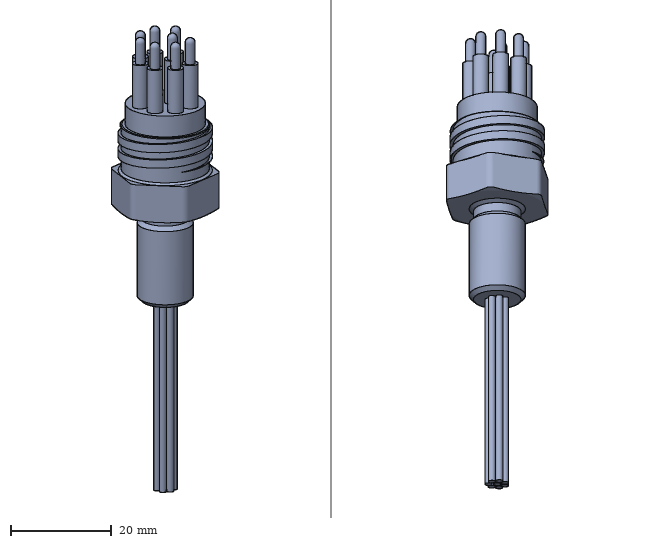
import cadquery as cq
import math

barrel_bottom = 39.6
barrel_top = 56.7
neck_top = 58.5
hex_bottom = 59.1
hex_top = 66.8
thread_bottom = 69.0
thread_top = 76.5
collar_top = 80.9
sleeve_top = 90.0
pin_top = 95.3

barrel_diameter = 11.15
neck_diameter = 9.4
barrel_chamfer = (barrel_diameter - neck_diameter) / 2
core_diameter = 17.5
core_flare_width = 0.6
core_flare_height = 0.4
collar_diameter = 15.9

hex_across_flats = 19.1
hex_corner_radius = 1.5
hex_chamfer_height = 0.4

thread_diameter = 18.8
thread_pitch = 3.2
thread_width = 1.7
thread_turns = 3
thread_start = 68.3
thread_end_diameter = 17.2
thread_end_height = 0.7
thread_root_overlap = 0.5

pin_diameter = 2.0
sleeve_diameter = 3.1
pin_circle_radius = 5.3
inner_pin_y = 1.5
pin_count_on_full_circle = 8

wire_diameter = 1.4
wire_ring_radius = 1.7
wire_ring_count = 7
wire_embed = 1.0


def revolve_profile(points):
    """Turn a closed (radius, z) outline around the Z axis."""
    return cq.Workplane("XZ").polyline(points).close().revolve(360, (0, 0, 0), (0, 1, 0))


def polar_points(radius, angles):
    return [(radius * math.cos(math.radians(a)), radius * math.sin(math.radians(a))) for a in angles]


def make_body():
    """Barrel, neck and collar as one turned shape that also fills the hexagon and the core."""
    barrel_r = barrel_diameter / 2
    neck_r = neck_diameter / 2
    collar_r = collar_diameter / 2
    return revolve_profile([
        (0, barrel_bottom),
        (barrel_r - barrel_chamfer, barrel_bottom),
        (barrel_r, barrel_bottom + barrel_chamfer),
        (barrel_r, barrel_top - barrel_chamfer),
        (neck_r, barrel_top),
        (neck_r, neck_top),
        (barrel_r, hex_bottom),
        (collar_r, hex_bottom),
        (collar_r, collar_top),
        (0, collar_top),
    ])


def make_hexagon():
    """Hexagon with rounded corners and a shallow cone trimming its lower corners."""
    flat_r = hex_across_flats / 2
    sharp_corner_r = flat_r / math.cos(math.pi / 6)
    prism = (
        cq.Workplane("XY", origin=(0, 0, hex_bottom))
        .polygon(6, 2 * sharp_corner_r)
        .extrude(hex_top - hex_bottom)
        .edges("|Z")
        .fillet(hex_corner_radius)
    )
    envelope = revolve_profile([
        (0, hex_bottom),
        (flat_r, hex_bottom),
        (sharp_corner_r, hex_bottom + hex_chamfer_height),
        (sharp_corner_r, hex_top),
        (0, hex_top),
    ])
    return prism.intersect(envelope)


def make_threaded_section():
    """Flared core with a right-handed rib; a cone trims the thread at either end."""
    crest_r = thread_diameter / 2
    core_r = core_diameter / 2
    flare_r = core_r + core_flare_width
    root_r = core_r - thread_root_overlap
    end_r = thread_end_diameter / 2
    outer_r = crest_r + (crest_r - end_r)
    cone_height = 2 * thread_end_height
    rib_top = thread_start + thread_turns * thread_pitch + thread_width

    path = cq.Wire.makeHelix(thread_pitch, thread_pitch * thread_turns, root_r)
    rib = (
        cq.Workplane("XZ")
        .center((root_r + crest_r) / 2, 0)
        .rect(crest_r - root_r, thread_width)
        .sweep(cq.Workplane(path), isFrenet=True)
        .translate((0, 0, thread_start))
    )
    lower_trim = revolve_profile([
        (0, thread_bottom),
        (end_r, thread_bottom),
        (outer_r, thread_bottom + cone_height),
        (outer_r, rib_top),
        (0, rib_top),
    ])
    core = revolve_profile([
        (0, hex_top),
        (flare_r, hex_top),
        (core_r, hex_top + core_flare_height),
        (core_r, rib_top),
        (0, rib_top),
    ])
    upper_trim = revolve_profile([
        (0, hex_bottom),
        (outer_r, hex_bottom),
        (outer_r, thread_top - cone_height),
        (end_r, thread_top),
        (0, thread_top),
    ])
    return core.union(rib.intersect(lower_trim)).intersect(upper_trim)


def make_pins():
    """Round-tipped pins: one inside the circle at +Y, the rest on the circle."""
    step = 360 / pin_count_on_full_circle
    angles = [i * step for i in range(pin_count_on_full_circle) if i * step != 90]
    places = polar_points(pin_circle_radius, angles) + [(0, inner_pin_y)]
    sleeves = (
        cq.Workplane("XY", origin=(0, 0, thread_top))
        .pushPoints(places)
        .circle(sleeve_diameter / 2)
        .extrude(sleeve_top - thread_top)
    )
    tip_radius = pin_diameter / 2
    pins = (
        cq.Workplane("XY", origin=(0, 0, thread_top))
        .pushPoints(places)
        .circle(tip_radius)
        .extrude(pin_top - tip_radius - thread_top)
    )
    tips = cq.Workplane("XY", origin=(0, 0, pin_top - tip_radius)).pushPoints(places).sphere(tip_radius)
    return sleeves.union(pins).union(tips)


def make_wires():
    """Ring of wires with one at -Y, around a central wire."""
    angles = [-90 + i * 360 / wire_ring_count for i in range(wire_ring_count)]
    return (
        cq.Workplane("XY")
        .pushPoints(polar_points(wire_ring_radius, angles) + [(0, 0)])
        .circle(wire_diameter / 2)
        .extrude(barrel_bottom + wire_embed)
    )


result = make_body().union(make_hexagon()).union(make_threaded_section()).union(make_pins()).union(make_wires())